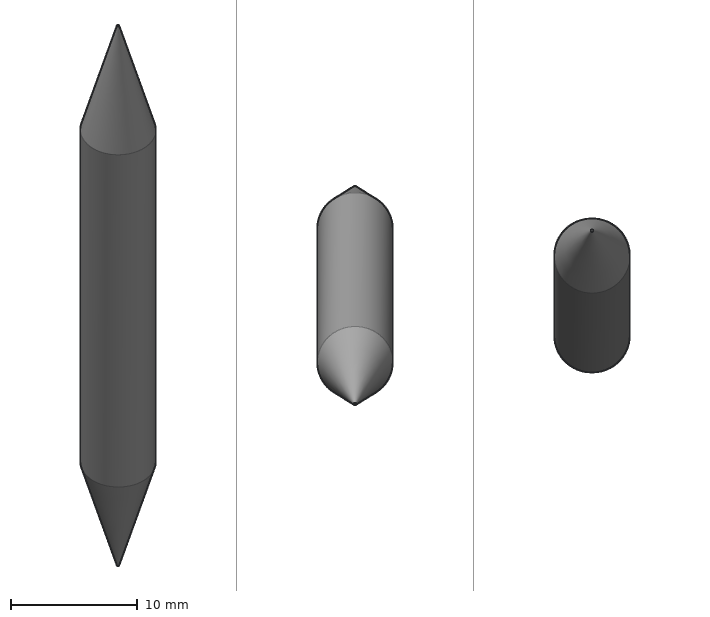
import cadquery as cq

total_length = 57.0
diameter = 6.0
tip_length = 10.95
tip_radius = 0.1

radius = diameter / 2
tip_height = total_length / 2
shoulder_height = tip_height - tip_length

half_profile = (
    cq.Workplane("XZ")
    .moveTo(0, -tip_height)
    .lineTo(tip_radius, -tip_height)
    .lineTo(radius, -shoulder_height)
    .lineTo(radius, shoulder_height)
    .lineTo(tip_radius, tip_height)
    .lineTo(0, tip_height)
    .close()
)

result = half_profile.revolve(360, (0, 0, 0), (0, 1, 0))